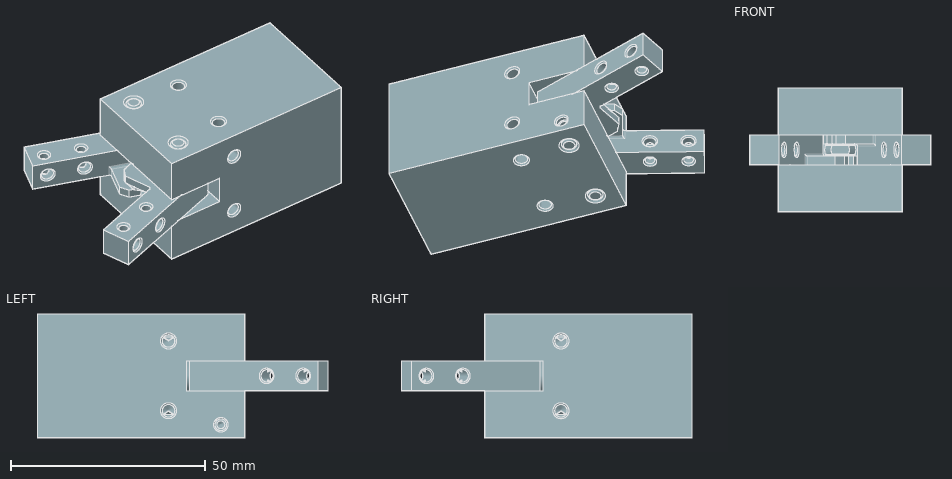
import cadquery as cq
import math


body_side = 32.0
body_length = 53.5
slot_height = 7.8
slot_depth = 15.1
half_side = body_side / 2

mount_hole_dia = 3.2
mount_chamfer_dia = 4.1
mount_hole_depth = 6.0
mount_offset = 9.0
mount_y = 19.7
drill_point_angle = 118

port_dia = 3.0
port_chamfer_dia = 3.75
port_depth = 1.5
port_bore_dia = 2.0
port_bore_depth = 3.0
port_y = 6.2
port_z = -12.6

pivot_x = 10.0
pivot_y = 6.3
pivot_dia = 4.0
pivot_end_dia = 3.0
pivot_hole_chamfer_dia = 5.2

finger_angle = 19.0
finger_outer_x = 4.5
finger_inner_x = -3.5
finger_tip_y = -28.1
finger_end_y = 6.9
finger_hole_ys = (-14.1, -24.05)
tip_hole_dia = 2.5
tip_hole_chamfer_dia = 3.45
cross_hole_dia = 3.2
cross_hole_chamfer_dia = 4.0

arm_end_x = -13.5
arm_front_y = -7.1
arm_corner_length = 1.9
arm_corner_width = 2.0
arm_underside_z = 1.6
arm_root_radius = 0.5
drive_pin_dia = 4.0

rod_dia = 8.0
rod_end_y = -2.2
rod_end_chamfer = 1.65
tongue_thickness = 2.7
tongue_root_y = 12.0
tongue_edge_chamfer = 0.2

angle = math.radians(finger_angle)
drive_pin_arm_x = -pivot_x / math.cos(angle)
drive_pin_y = pivot_y - pivot_x * math.tan(angle)


def cylinder(point, direction, dia, length):
    """Cylinder that starts at a point and runs along a direction."""
    return cq.Workplane(cq.Solid.makeCylinder(dia / 2, length, cq.Vector(*point), cq.Vector(*direction)))


def cone(point, direction, start_dia, end_dia, length):
    """Cone that starts at a point and narrows along a direction."""
    return cq.Workplane(
        cq.Solid.makeCone(start_dia / 2, end_dia / 2, length, cq.Vector(*point), cq.Vector(*direction))
    )


def countersink(point, direction, rim_dia, hole_dia):
    """45 degree mouth of a hole."""
    return cone(point, direction, rim_dia, hole_dia, (rim_dia - hole_dia) / 2)


def drilled_hole(point, direction, dia, depth):
    """Blind hole with a conical drill point below its full-diameter depth."""
    point_height = dia / 2 / math.tan(math.radians(drill_point_angle / 2))
    floor = cq.Vector(*point) + cq.Vector(*direction) * depth
    bore = cylinder(point, direction, dia, depth)
    return bore.union(cone(floor.toTuple(), direction, dia, 0, point_height))


def make_body():
    body = cq.Workplane("XY").box(body_side, body_length, body_side, centered=(True, False, True))
    slot = cq.Workplane("XY").box(body_side, slot_depth, slot_height, centered=(True, False, True))
    return body.cut(slot)


def cut_mount_holes(body):
    for side in (-1, 1):
        for offset in (-mount_offset, mount_offset):
            mouths = (
                ((offset, mount_y, side * half_side), (0, 0, -side)),
                ((side * half_side, mount_y, offset), (-side, 0, 0)),
            )
            for point, inward in mouths:
                body = body.cut(drilled_hole(point, inward, mount_hole_dia, mount_hole_depth))
                body = body.cut(countersink(point, inward, mount_chamfer_dia, mount_hole_dia))
    return body


def cut_air_port(body):
    mouth = (-half_side, port_y, port_z)
    inward = (1, 0, 0)
    body = body.cut(cylinder(mouth, inward, port_dia, port_depth))
    body = body.cut(countersink(mouth, inward, port_chamfer_dia, port_dia))
    return body.cut(drilled_hole(mouth, inward, port_bore_dia, port_bore_depth))


def cut_pivot_mouths(body):
    for x in (-pivot_x, pivot_x):
        for side in (-1, 1):
            mouth = (x, pivot_y, side * half_side)
            body = body.cut(countersink(mouth, (0, 0, -side), pivot_hole_chamfer_dia, pivot_dia))
    return body


def make_pivot_pin(x):
    pin = cylinder((x, pivot_y, -half_side), (0, 0, 1), pivot_dia, body_side)
    return pin.faces("|Z").chamfer((pivot_dia - pivot_end_dia) / 2)


def make_finger():
    """Right finger in its closed position, with the arm in the upper part of its thickness."""
    half_thickness = slot_height / 2
    width = finger_outer_x - finger_inner_x
    bar = (
        cq.Workplane("XY", origin=(0, 0, -half_thickness))
        .moveTo(finger_inner_x, finger_tip_y)
        .lineTo(finger_outer_x, finger_tip_y)
        .lineTo(finger_outer_x, finger_end_y)
        .lineTo(finger_inner_x, finger_end_y)
        .close()
        .extrude(slot_height)
    )
    arm = (
        cq.Workplane("XY", origin=(0, 0, arm_underside_z))
        .moveTo(0, arm_front_y)
        .lineTo(arm_end_x + arm_corner_length, arm_front_y)
        .lineTo(arm_end_x, arm_front_y + arm_corner_width)
        .lineTo(arm_end_x, finger_end_y - arm_corner_width)
        .lineTo(arm_end_x + arm_corner_length, finger_end_y)
        .lineTo(0, finger_end_y)
        .close()
        .extrude(half_thickness - arm_underside_z)
    )
    finger = bar.union(arm)

    margin = 0.1
    root_min_x = finger_inner_x - margin
    root_max_x = finger_inner_x + margin
    front_root = cq.selectors.BoxSelector(
        (root_min_x, arm_front_y - margin, arm_underside_z),
        (root_max_x, arm_front_y + margin, half_thickness),
    )
    underside_root = cq.selectors.BoxSelector(
        (root_min_x, arm_front_y, arm_underside_z - margin),
        (root_max_x, finger_end_y, arm_underside_z + margin),
    )
    finger = finger.edges(front_root + underside_root).fillet(arm_root_radius)

    fork_length = drive_pin_arm_x - arm_end_x
    fork = (
        cq.Workplane("XY", origin=(drive_pin_arm_x, 0, arm_underside_z))
        .circle(drive_pin_dia / 2)
        .extrude(slot_height)
    )
    fork_mouth = cq.Workplane("XY", origin=(drive_pin_arm_x - fork_length / 2, 0, arm_underside_z)).box(
        fork_length, drive_pin_dia, slot_height, centered=(True, True, False)
    )
    finger = finger.cut(fork).cut(fork_mouth)

    for y in finger_hole_ys:
        finger = finger.cut(cylinder((0, y, -half_thickness), (0, 0, 1), tip_hole_dia, slot_height))
        finger = finger.cut(cylinder((finger_inner_x, y, 0), (1, 0, 0), cross_hole_dia, width))
        for side, face_x in ((-1, finger_inner_x), (1, finger_outer_x)):
            tip_mouth = (0, y, side * half_thickness)
            cross_mouth = (face_x, y, 0)
            finger = finger.cut(countersink(tip_mouth, (0, 0, -side), tip_hole_chamfer_dia, tip_hole_dia))
            finger = finger.cut(
                countersink(cross_mouth, (-side, 0, 0), cross_hole_chamfer_dia, cross_hole_dia)
            )
    return finger


def make_piston_rod():
    along_rod = (0, 1, 0)
    tongue_length = tongue_root_y - rod_end_y
    flats = (
        cq.Workplane("XY", origin=(0, rod_end_y, 0))
        .box(rod_dia, tongue_length, tongue_thickness, centered=(True, False, True))
    )
    tongue = (
        cylinder((0, rod_end_y, 0), along_rod, rod_dia, tongue_length)
        .faces("<Y")
        .chamfer(rod_end_chamfer)
        .intersect(flats)
        .faces("|Z")
        .chamfer(tongue_edge_chamfer)
    )
    rod = cylinder((0, tongue_root_y, 0), along_rod, rod_dia, slot_depth - tongue_root_y)
    drive_pin = cylinder((0, drive_pin_y, -slot_height / 2), (0, 0, 1), drive_pin_dia, slot_height)
    return tongue.union(rod).union(drive_pin)


body = cut_pivot_mouths(cut_air_port(cut_mount_holes(make_body())))

right_finger = (
    make_finger().rotate((0, 0, 0), (0, 0, 1), finger_angle).translate((pivot_x, pivot_y, 0))
)
left_finger = right_finger.rotate((0, 0, 0), (0, 1, 0), 180)

result = body.union(right_finger).union(left_finger).union(make_piston_rod())
for pin_x in (-pivot_x, pivot_x):
    result = result.union(make_pivot_pin(pin_x))